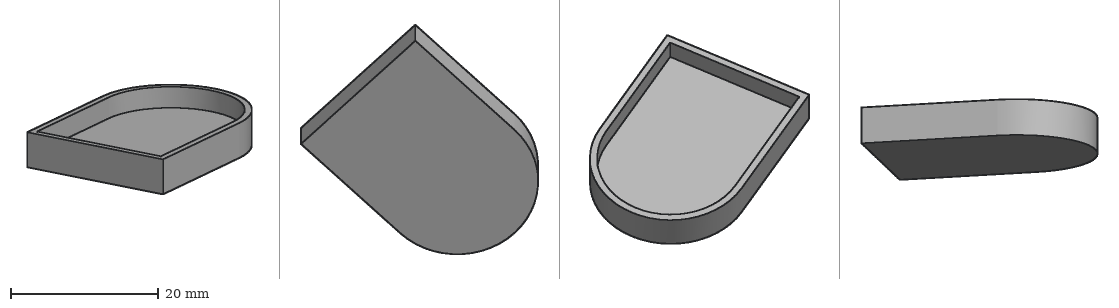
import cadquery as cq

length = 30.0
width = 22.0
height = 5.0
wall = 1.0
pocket_depth = 3.0

end_radius = width / 2
arc_start_y = length - end_radius


def arched_prism(inset, bottom, top):
    """Solid with a flat front and a semicircular back, inset from the outer outline."""
    radius = end_radius - inset
    return (
        cq.Workplane("XY", origin=(0, 0, bottom))
        .moveTo(-radius, inset)
        .lineTo(radius, inset)
        .lineTo(radius, arc_start_y)
        .threePointArc((0, arc_start_y + radius), (-radius, arc_start_y))
        .close()
        .extrude(top - bottom)
    )


body = arched_prism(0, 0, height)
pocket = arched_prism(wall, height - pocket_depth, height)
result = body.cut(pocket)